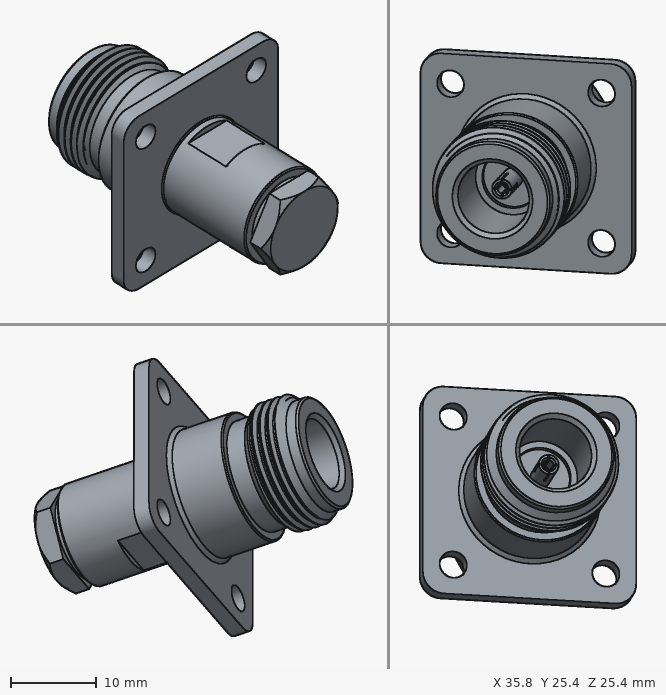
import cadquery as cq
import math

LENGTH = 35.78

thread_start = 1.55
thread_end = 7.05
hub_start = 9.4
flare_start = 16.1
flange_front = 16.6
flange_back = 18.6
rear_end = 32.35
nut_start = 33.2

barrel_radius = 6.87
hub_radius = 7.95
flare_radius = 8.45
rear_radius = 6.35
collar_radius = 6.48
neck_radius = 5.15
edge_break = 0.18
nose_chamfer = 0.25

full_pitches = 3
full_crest_span = 3.2
thread_pitch = full_crest_span / full_pitches
thread_crest_radius = hub_radius
thread_root_radius = 7.37
thread_base_width = 0.82
thread_crest_width = 0.15
top_crest = 2.6
lead_in_turns = 1.5
root_overlap = 0.1
trim_clearance = 0.35

flange_width = 25.4
flange_corner_radius = 2.5
mount_hole_spacing = 18.18
mount_hole_diameter = 3.22

flat_start = 19.68
flat_end = 25.95
across_flats = 11.0

nut_corner_radius = across_flats / 2 / math.cos(math.pi / 6)
nut_face_radius = 5.5
nut_chamfer_length = 0.8

socket_radius = 4.3
socket_mouth_radius = 4.83
socket_depth = 9.3
well_radius = 3.5
well_depth = 10.02

contact_radius = 1.18
contact_tip = 4.65
contact_bore_radius = 0.6
contact_mouth_radius = 0.85
contact_bore_depth = 2.85
contact_slot_width = 0.18


def turned(points):
    """Solid of revolution about X from (x, radius) points; both ends close on the axis."""
    outline = [(points[0][0], 0)] + points + [(points[-1][0], 0)]
    return cq.Workplane("XY").polyline(outline).close().revolve(360, (0, 0, 0), (1, 0, 0))


def cylinder(start, end, radius):
    return turned([(start, radius), (end, radius)])


def body():
    """Turned connector body, from the mating face to the neck under the nut."""
    return turned([
        (0, barrel_radius - nose_chamfer),
        (nose_chamfer, barrel_radius),
        (hub_start, barrel_radius),
        (hub_start, hub_radius - edge_break),
        (hub_start + edge_break, hub_radius),
        (flare_start, hub_radius),
        (flange_front, flare_radius),
        (flange_back, flare_radius),
        (flange_back, collar_radius),
        (flange_back + edge_break, rear_radius),
        (rear_end - edge_break, rear_radius),
        (rear_end, rear_radius - edge_break),
        (rear_end, neck_radius),
        (nut_start, neck_radius),
    ])


def thread_envelope(outer_radius):
    """Threaded zone up to a given radius, with 45 degree run-ins at both ends."""
    rise = outer_radius - barrel_radius
    return turned([
        (thread_start, barrel_radius),
        (thread_start + rise, outer_radius),
        (thread_end - rise, outer_radius),
        (thread_end, barrel_radius),
    ])


def thread():
    """Right-hand helical ridge on a plain core, trimmed by the run-in cones."""
    helix_start = top_crest - lead_in_turns * thread_pitch
    turns = math.ceil((thread_end - helix_start) / thread_pitch) + 1
    path = cq.Wire.makeHelix(thread_pitch, turns * thread_pitch, thread_root_radius)

    flank_slope = (thread_base_width - thread_crest_width) / 2 / (thread_crest_radius - thread_root_radius)
    half_crest = thread_crest_width / 2
    half_sunk = thread_base_width / 2 + root_overlap * flank_slope
    sunk_radius = thread_root_radius - root_overlap
    ridge = (
        cq.Workplane("XZ")
        .polyline([
            (sunk_radius, -half_sunk),
            (thread_crest_radius, -half_crest),
            (thread_crest_radius, half_crest),
            (sunk_radius, half_sunk),
        ])
        .close()
        .sweep(cq.Workplane(path), isFrenet=True)
        .rotate((0, 0, 0), (0, 1, 0), 90)
        .translate((helix_start, 0, 0))
    )
    trimmed_ridge = ridge.intersect(thread_envelope(thread_crest_radius + trim_clearance))
    return thread_envelope(thread_root_radius).union(trimmed_ridge)


def flange():
    """Square plate with rounded corners and four mounting holes."""
    return (
        cq.Workplane("YZ", origin=(flange_front, 0, 0))
        .rect(flange_width, flange_width)
        .extrude(flange_back - flange_front)
        .edges("|X")
        .fillet(flange_corner_radius)
        .faces("<X")
        .workplane(origin=(flange_front, 0, 0))
        .rect(mount_hole_spacing, mount_hole_spacing, forConstruction=True)
        .vertices()
        .hole(mount_hole_diameter)
    )


def wrench_flat(side):
    """Block that cuts the rear body flat on the +Z (side = 1) or -Z (side = -1) side."""
    depth = collar_radius - across_flats / 2
    return (
        cq.Workplane("XY")
        .box(flat_end - flat_start, 2 * collar_radius, depth)
        .translate(((flat_start + flat_end) / 2, 0, side * (across_flats + depth) / 2))
    )


def nut():
    """Hexagonal nut with flats facing +Z and -Z and a conical chamfer at the rear."""
    hexagon = (
        cq.Workplane("YZ", origin=(nut_start, 0, 0))
        .polygon(6, 2 * nut_corner_radius)
        .extrude(LENGTH - nut_start)
    )
    cone = turned([
        (nut_start, nut_corner_radius),
        (LENGTH - nut_chamfer_length, nut_corner_radius),
        (LENGTH, nut_face_radius),
    ])
    return hexagon.intersect(cone)


def socket():
    """Stepped cavity with a chamfered mouth."""
    mouth_chamfer = socket_mouth_radius - socket_radius
    return turned([
        (0, socket_mouth_radius),
        (mouth_chamfer, socket_radius),
        (socket_depth, socket_radius),
        (socket_depth, well_radius),
        (well_depth, well_radius),
    ])


def centre_contact():
    """Hollow pin standing on the cavity floor, split by two crossed slots."""
    bore_end = contact_tip + contact_bore_depth
    mouth_chamfer = contact_mouth_radius - contact_bore_radius
    bore = turned([
        (contact_tip, contact_mouth_radius),
        (contact_tip + mouth_chamfer, contact_bore_radius),
        (bore_end, contact_bore_radius),
    ])
    pin = cylinder(contact_tip, well_depth, contact_radius).cut(bore)
    for angle in (0, 90):
        slot = (
            cq.Workplane("XY", origin=(contact_tip + contact_bore_depth / 2, 0, 0))
            .box(contact_bore_depth, 2 * contact_radius, contact_slot_width)
            .rotate((0, 0, 0), (1, 0, 0), angle)
        )
        pin = pin.cut(slot)
    return pin


result = body().union(flange()).union(nut())
for side in (1, -1):
    result = result.cut(wrench_flat(side))
result = result.union(thread()).cut(socket()).union(centre_contact())